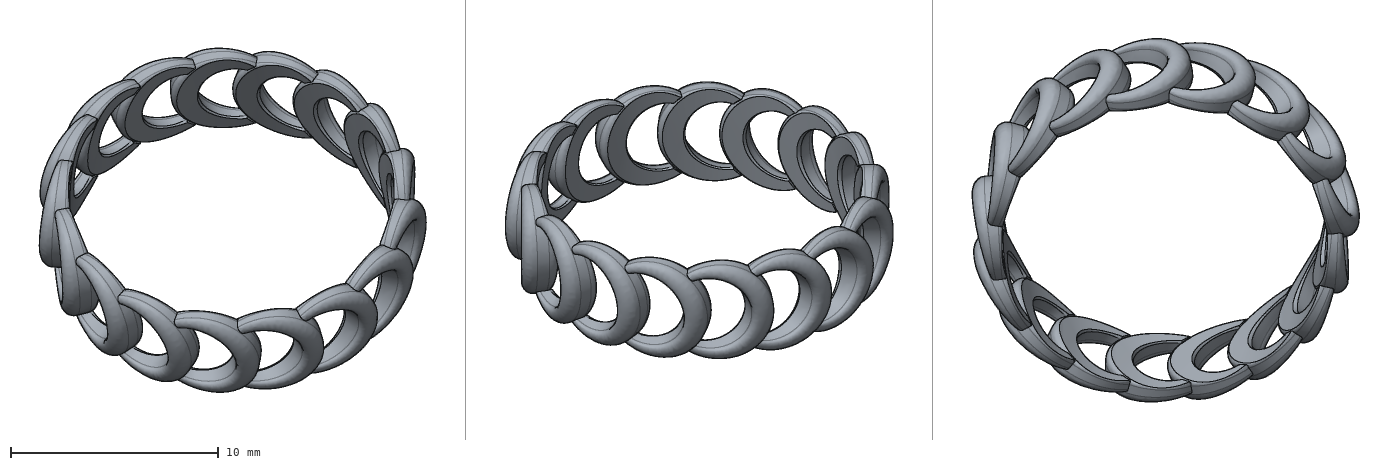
import cadquery as cq
import math

LINK_COUNT = 17
PITCH_ANGLE = 360 / LINK_COUNT
FIRST_LINK_ANGLE = 5.0
BORE_RADIUS = 7.82

LINK_RADIUS = 2.618
HOLE_RADIUS = 1.86
HOLE_OFFSET = 0.58
SWEEP_HALF_ANGLE = 132
SECTION_COUNT = 9

WAIST_HEIGHT = 7.92
FOOT_DEPTH = 0.05
SHOULDER_HEIGHT = 8.33
SHOULDER_SLOPE = 0.07
DOME_RATIO = 0.4
HOLE_LEAN_RATIO = 0.18
HOLE_RIM_RATIO = 0.2
INNER_FOOT_RATIO = 0.35
OUTER_FOOT_RATIO = 0.3
TIP_OVERLAP = 0.04


def hole_edge_distance(angle):
    """Distance from the link centre to the hole edge in the given direction (radians)."""
    along = HOLE_OFFSET * math.cos(angle)
    across = HOLE_OFFSET * math.sin(angle)
    return math.sqrt(HOLE_RADIUS**2 - across**2) - along


def band_section(angle_degrees):
    """Closed section of the band: leaning hole side, upright outer side, domed top and rounded foot."""
    angle = math.radians(angle_degrees)
    hole_edge = hole_edge_distance(angle)
    band = LINK_RADIUS - hole_edge
    dome_inner = hole_edge + HOLE_LEAN_RATIO * band
    foot_inner_distance = hole_edge + INNER_FOOT_RATIO * band
    foot_outer_distance = LINK_RADIUS - OUTER_FOOT_RATIO * band

    def point(distance, height):
        return cq.Vector(height, distance * math.cos(angle), distance * math.sin(angle))

    def shoulder(distance):
        return SHOULDER_HEIGHT + SHOULDER_SLOPE * distance * math.cos(angle)

    def foot(distance):
        return point(distance, math.sqrt(BORE_RADIUS**2 - (distance * math.cos(angle))**2) - FOOT_DEPTH)

    dome_lift = cq.Vector(4 / 3 * DOME_RATIO * band, 0, 0)
    shoulder_inner = point(dome_inner, shoulder(dome_inner) + HOLE_RIM_RATIO * band)
    shoulder_outer = point(LINK_RADIUS, shoulder(LINK_RADIUS))
    waist_inner = point(hole_edge, WAIST_HEIGHT)
    waist_outer = point(LINK_RADIUS, WAIST_HEIGHT)
    foot_inner = foot(foot_inner_distance)
    foot_outer = foot(foot_outer_distance)
    corner_inner = point(hole_edge, foot_inner.x)
    corner_outer = point(LINK_RADIUS, foot_outer.x)
    return cq.Wire.assembleEdges([
        cq.Edge.makeLine(waist_inner, shoulder_inner),
        cq.Edge.makeBezier([
            shoulder_inner, shoulder_inner + dome_lift, shoulder_outer + dome_lift, shoulder_outer
        ]),
        cq.Edge.makeLine(shoulder_outer, waist_outer),
        cq.Edge.makeBezier([waist_outer, corner_outer, foot_outer]),
        cq.Edge.makeLine(foot_outer, foot_inner),
        cq.Edge.makeBezier([foot_inner, corner_inner, waist_inner]),
    ])


def make_link():
    """One link with its axis along +X and its thick side towards +Y."""
    step = 2 * SWEEP_HALF_ANGLE / (SECTION_COUNT - 1)
    sections = [band_section(-SWEEP_HALF_ANGLE + i * step) for i in range(SECTION_COUNT)]
    band = cq.Workplane(obj=cq.Solid.makeLoft(sections))

    neighbour = (
        cq.Workplane("YZ")
        .circle(LINK_RADIUS - TIP_OVERLAP)
        .extrude(2 * BORE_RADIUS)
        .rotate((0, 0, 0), (0, 0, 1), -PITCH_ANGLE)
    )
    return band.cut(neighbour)


bore = cq.Workplane("XY").cylinder(4 * LINK_RADIUS, BORE_RADIUS)
link = make_link().cut(bore)
axis = cq.Vector(0, 0, 1)
links = [
    link.val().rotate(cq.Vector(), axis, FIRST_LINK_ANGLE + index * PITCH_ANGLE)
    for index in range(LINK_COUNT)
]
ring = links[0].fuse(*links[1:])

result = cq.Workplane(obj=ring)